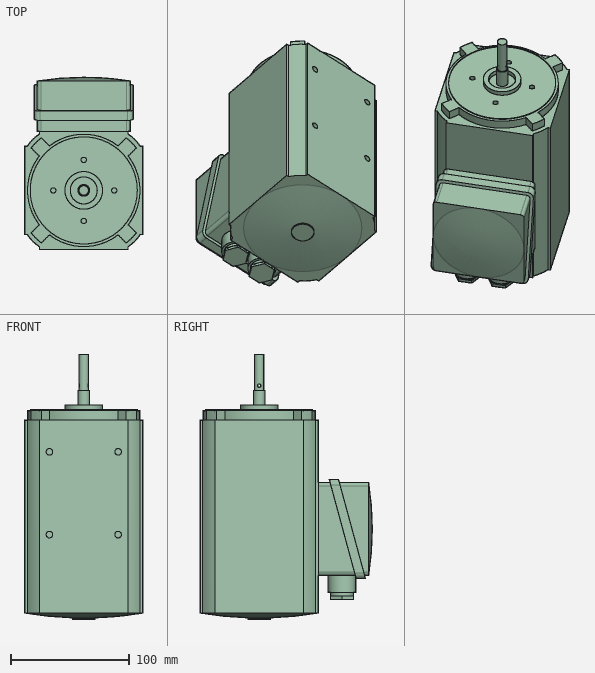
import cadquery as cq

BODY_SIDE = 100.0
FLAT_WIDTH = 74.8
NOTCH_DEPTH = 2.2
CORNER_REACH = 61.0
BODY_BOTTOM = 5.4
BODY_TOP = 168.5

REAR_DOME_HEIGHT = 4.3
REAR_BOSS_RADIUS = 9.6

FLANGE_RADIUS = 47.5
FLANGE_HEIGHT = 8.0
FACE_RADIUS = 45.2
FACE_HEIGHT = 0.7
LUG_REACH = 57.1
LUG_WIDTH = 12.0
COLLAR_RADIUS = 16.0
COLLAR_HEIGHT = 4.0
COLLAR_BORE_RADIUS = 11.5
FLANGE_HOLE_CIRCLE_RADIUS = 25.8
FLANGE_HOLE_DIAMETER = 4.5
FLANGE_HOLE_DEPTH = 9.0

SHAFT_RADIUS = 5.0
SHAFT_SHOULDER = 193.5
SHAFT_TIP_RADIUS = 4.0
SHAFT_TOP = 224.0
PIN_HOLE_DIAMETER = 2.7
PIN_HOLE_Z = 197.5

SIDE_HOLE_SPACING_X = 58.0
SIDE_HOLE_SPACING_Z = 70.0
SIDE_HOLE_MIDDLE_Z = 106.6
SIDE_HOLE_DIAMETER = 5.5
SIDE_HOLE_DEPTH = 6.7

BOX_WIDTH = 78.6
BOX_HEIGHT = 78.6
BOX_MIDDLE_Z = 76.4
BOX_END = 92.5
BOX_CORNER = 3.1
COVER_DOME_RADIUS = 39.2
COVER_DOME_HEIGHT = 3.1

RIM_OVERHANG = 2.7
RIM_CORNER = 5.0
RIM_THICKNESS = 7.8
RIM_TOP_Y = 59.1
RIM_BOTTOM_Y = 82.0

GLAND_SPACING = 29.1
GLAND_Y = 70.0
GLAND_RADIUS = 11.9
GLAND_BOTTOM = 22.8
GLAND_NECK_RADIUS = 9.9
GLAND_NECK_BOTTOM = 19.7
GLAND_NUT_BOTTOM = 16.8

HALF_SIDE = BODY_SIDE / 2
FLANGE_TOP = BODY_TOP + FLANGE_HEIGHT
FACE_TOP = FLANGE_TOP + FACE_HEIGHT
BOX_BOTTOM = BOX_MIDDLE_Z - BOX_HEIGHT / 2
HEXAGON_CORNER_RATIO = 2 / 3 ** 0.5


def cylinder(radius, bottom, top):
    """Round bar along the motor axis."""
    return cq.Workplane("XY").workplane(offset=bottom).circle(radius).extrude(top - bottom)


def dome(base_radius, height):
    """Shallow spherical cap, base on Z = 0, bulging toward +Z."""
    sphere_radius = (base_radius**2 + height**2) / (2 * height)
    mid_radius = base_radius / 2
    mid_height = (sphere_radius**2 - mid_radius**2) ** 0.5 - (sphere_radius - height)
    return (
        cq.Workplane("XZ")
        .lineTo(base_radius, 0)
        .threePointArc((mid_radius, mid_height), (0, height))
        .close()
        .revolve(360, (0, 0), (0, 1))
    )


def make_body():
    half_flat = FLAT_WIDTH / 2
    notch = HALF_SIDE - NOTCH_DEPTH
    diagonal = CORNER_REACH / 2**0.5
    start = cq.Workplane("XY").workplane(offset=BODY_BOTTOM)
    length = BODY_TOP - BODY_BOTTOM
    body = start.rect(FLAT_WIDTH, FLAT_WIDTH).extrude(length)
    for angle in (0, 90, 180, 270):
        side_and_corner = (
            start.lineTo(HALF_SIDE, 0)
            .lineTo(HALF_SIDE, half_flat)
            .lineTo(notch, half_flat)
            .threePointArc((diagonal, diagonal), (half_flat, notch))
            .lineTo(half_flat, HALF_SIDE)
            .lineTo(0, HALF_SIDE)
            .close()
            .extrude(length)
        )
        body = body.union(side_and_corner.rotate((0, 0, 0), (0, 0, 1), angle))
    return body


def make_rear_end():
    rear_dome = dome(HALF_SIDE, REAR_DOME_HEIGHT).rotate((0, 0, 0), (1, 0, 0), 180)
    return rear_dome.translate((0, 0, BODY_BOTTOM)).union(cylinder(REAR_BOSS_RADIUS, 0, BODY_BOTTOM))


def make_flange():
    flange = cylinder(FLANGE_RADIUS, BODY_TOP, FLANGE_TOP)
    lug_pair = (
        cq.Workplane("XY")
        .workplane(offset=BODY_TOP)
        .rect(2 * LUG_REACH, LUG_WIDTH)
        .extrude(FLANGE_HEIGHT)
        .intersect(cylinder(LUG_REACH, BODY_TOP, FLANGE_TOP))
    )
    for angle in (45, 135):
        flange = flange.union(lug_pair.rotate((0, 0, 0), (0, 0, 1), angle))
    flange = flange.union(cylinder(FACE_RADIUS, FLANGE_TOP, FACE_TOP))
    collar = cylinder(COLLAR_RADIUS, FACE_TOP, FACE_TOP + COLLAR_HEIGHT)
    bore = cylinder(COLLAR_BORE_RADIUS, FACE_TOP, FACE_TOP + COLLAR_HEIGHT)
    return flange.union(collar.cut(bore))


def make_flange_holes():
    return (
        cq.Workplane("XY")
        .workplane(offset=FACE_TOP - FLANGE_HOLE_DEPTH)
        .polarArray(FLANGE_HOLE_CIRCLE_RADIUS, 0, 360, 4)
        .circle(FLANGE_HOLE_DIAMETER / 2)
        .extrude(FLANGE_HOLE_DEPTH)
    )


def make_shaft():
    shaft = cylinder(SHAFT_RADIUS, BODY_TOP, SHAFT_SHOULDER)
    shaft = shaft.union(cylinder(SHAFT_TIP_RADIUS, SHAFT_SHOULDER, SHAFT_TOP))
    pin_hole = (
        cq.Workplane("YZ")
        .center(0, PIN_HOLE_Z)
        .circle(PIN_HOLE_DIAMETER / 2)
        .extrude(SHAFT_RADIUS, both=True)
    )
    return shaft.cut(pin_hole)


def make_side_holes():
    return (
        cq.Workplane("XZ", origin=(0, -HALF_SIDE, SIDE_HOLE_MIDDLE_Z))
        .rarray(SIDE_HOLE_SPACING_X, SIDE_HOLE_SPACING_Z, 2, 2)
        .circle(SIDE_HOLE_DIAMETER / 2)
        .extrude(-SIDE_HOLE_DEPTH)
    )


def rounded_block(width, height, corner):
    """Block from the motor's side to the cover face, its edges along Y rounded."""
    return (
        cq.Workplane("XZ", origin=(0, HALF_SIDE, BOX_MIDDLE_Z))
        .rect(width, height)
        .extrude(HALF_SIDE - BOX_END)
        .edges("|Y")
        .fillet(corner)
    )


def make_rim():
    width = BOX_WIDTH + 2 * RIM_OVERHANG
    height = BOX_HEIGHT + 2 * RIM_OVERHANG
    top = BOX_MIDDLE_Z + height / 2
    bottom = BOX_MIDDLE_Z - height / 2
    slanted_slab = (
        cq.Workplane("YZ")
        .moveTo(RIM_TOP_Y, top)
        .lineTo(RIM_TOP_Y + RIM_THICKNESS, top)
        .lineTo(RIM_BOTTOM_Y + RIM_THICKNESS, bottom)
        .lineTo(RIM_BOTTOM_Y, bottom)
        .close()
        .extrude(width, both=True)
    )
    return rounded_block(width, height, RIM_CORNER).intersect(slanted_slab)


def make_terminal_box():
    box = rounded_block(BOX_WIDTH, BOX_HEIGHT, BOX_CORNER).union(make_rim())
    cover_dome = dome(COVER_DOME_RADIUS, COVER_DOME_HEIGHT).rotate((0, 0, 0), (1, 0, 0), -90)
    return box.union(cover_dome.translate((0, BOX_END, BOX_MIDDLE_Z)))


def make_gland(x):
    nut_diameter = 2 * GLAND_NECK_RADIUS * HEXAGON_CORNER_RATIO
    nut = (
        cq.Workplane("XY")
        .workplane(offset=GLAND_NUT_BOTTOM)
        .polygon(6, nut_diameter)
        .extrude(GLAND_NECK_BOTTOM - GLAND_NUT_BOTTOM)
    )
    gland = cylinder(GLAND_RADIUS, GLAND_BOTTOM, BOX_BOTTOM)
    gland = gland.union(cylinder(GLAND_NECK_RADIUS, GLAND_NECK_BOTTOM, GLAND_BOTTOM)).union(nut)
    return gland.translate((x, GLAND_Y, 0))


result = make_body().union(make_rear_end()).union(make_flange())
result = result.cut(make_flange_holes()).cut(make_side_holes())
result = result.union(make_shaft()).union(make_terminal_box())
for gland_x in (-GLAND_SPACING / 2, GLAND_SPACING / 2):
    result = result.union(make_gland(gland_x))